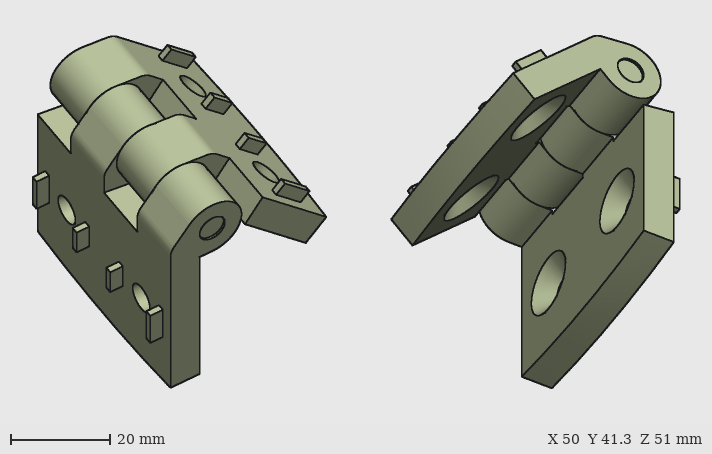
import cadquery as cq
import math


width = 50.0
knuckle_count = 4
knuckle_width = width / knuckle_count
barrel_radius = 7.0
plate_thickness = 7.0
outer_face_y = -10.0
inner_face_y = outer_face_y + plate_thickness
end_bulge = 1.5

shoulder_angle = math.radians(38.9)
shoulder_radius = 4.0

notch_outer_depth = barrel_radius
notch_inner_depth = 8.0

rib_height = 3.0
tall_rib_length = 8.25
tall_rib_width = 1.5
tall_rib_x = 21.35
short_rib_length = 6.0
hole_diameter = 6.5
countersink_diameter = 13.95
countersink_angle = 90.0

pin_radius = 3.0
pin_recess = 0.5

front_leaf_length = 44.0
front_fixing_distance = 25.65
front_hole_x = 14.0
front_short_rib_x = 6.3
front_short_rib_width = 1.5

rear_leaf_length = 30.0
rear_fixing_distance = 18.25
rear_hole_x = 13.7
rear_short_rib_x = 6.45
rear_short_rib_width = 1.6
rear_leaf_tilt = 45.0


def extrude_along_x(profile):
    """Extrude a closed YZ outline over the full width of the hinge."""
    return profile.extrude(width).translate((-width / 2, 0, 0))


def leaf_blank(length):
    """Plate and barrel in one full-width extrusion."""
    bisector = shoulder_angle / 2
    sine = math.sin(shoulder_angle)
    cosine = math.cos(shoulder_angle)
    corner_z = (outer_face_y * cosine + barrel_radius) / sine
    tangent_length = shoulder_radius * math.tan(bisector)
    round_reach = shoulder_radius * (1 / math.cos(bisector) - 1)
    profile = (
        cq.Workplane("YZ")
        .moveTo(0, -barrel_radius)
        .lineTo(inner_face_y, -barrel_radius)
        .lineTo(inner_face_y, -length)
        .lineTo(outer_face_y, -length)
        .lineTo(outer_face_y, corner_z - tangent_length)
        .threePointArc(
            (outer_face_y + round_reach * math.cos(bisector), corner_z - round_reach * math.sin(bisector)),
            (outer_face_y + tangent_length * sine, corner_z + tangent_length * cosine),
        )
        .lineTo(-barrel_radius * cosine, barrel_radius * sine)
        .threePointArc((barrel_radius * cosine, barrel_radius * sine), (0, -barrel_radius))
        .close()
    )
    return extrude_along_x(profile)


def end_block(length):
    """Block whose lower side is the bulged free end of the leaf."""
    half_width = width / 2
    return (
        cq.Workplane("XZ")
        .moveTo(-half_width, barrel_radius)
        .lineTo(-half_width, end_bulge - length)
        .threePointArc((0, -length), (half_width, end_bulge - length))
        .lineTo(half_width, barrel_radius)
        .close()
        .extrude(-outer_face_y, both=True)
    )


def notch(column):
    """Cutter that clears one knuckle column down to the sloped notch floor."""
    left_x = -width / 2 + column * knuckle_width
    return (
        cq.Workplane("YZ", origin=(left_x, 0, 0))
        .moveTo(outer_face_y, -notch_outer_depth)
        .lineTo(inner_face_y, -notch_inner_depth)
        .lineTo(barrel_radius, -notch_inner_depth)
        .lineTo(barrel_radius, barrel_radius)
        .lineTo(outer_face_y, barrel_radius)
        .close()
        .extrude(knuckle_width)
    )


def rib_pair(rib_x, distance, rib_width, rib_length):
    """Two ribs on the outer face, one on each side of the middle."""
    return (
        cq.Workplane("XZ", origin=(0, outer_face_y, 0))
        .pushPoints([(-rib_x, -distance), (rib_x, -distance)])
        .rect(rib_width, rib_length)
        .extrude(rib_height)
    )


def drill_screw_holes(leaf, hole_x, distance):
    """Cut the two through holes, countersunk from the inner face."""
    return (
        leaf.copyWorkplane(cq.Workplane("ZX", origin=(0, inner_face_y, 0)))
        .pushPoints([(-distance, -hole_x), (-distance, hole_x)])
        .cskHole(hole_diameter, countersink_diameter, countersink_angle, depth=plate_thickness)
    )


def pin_bore():
    """Cutter for the pin hole along the full width."""
    return extrude_along_x(cq.Workplane("YZ").circle(pin_radius))


def make_leaf(length, fixing_distance, hole_x, short_rib_x, short_rib_width):
    """One leaf, hanging down, with notches in every second column from -X."""
    leaf = leaf_blank(length).intersect(end_block(length))
    for column in range(0, knuckle_count, 2):
        leaf = leaf.cut(notch(column))
    leaf = leaf.cut(pin_bore())
    leaf = drill_screw_holes(leaf, hole_x, fixing_distance)
    leaf = leaf.union(rib_pair(tall_rib_x, fixing_distance, tall_rib_width, tall_rib_length))
    return leaf.union(rib_pair(short_rib_x, fixing_distance, short_rib_width, short_rib_length))


def make_pin():
    """Pin that stops short of both sides of the leaves."""
    length = width - 2 * pin_recess
    return cq.Workplane("YZ", origin=(-length / 2, 0, 0)).circle(pin_radius).extrude(length)


front_leaf = make_leaf(
    front_leaf_length, front_fixing_distance, front_hole_x, front_short_rib_x, front_short_rib_width
)

rear_leaf = (
    make_leaf(rear_leaf_length, rear_fixing_distance, rear_hole_x, rear_short_rib_x, rear_short_rib_width)
    .rotate((0, 0, 0), (0, 0, 1), 180)
    .rotate((0, 0, 0), (1, 0, 0), rear_leaf_tilt)
)

pin = make_pin()

result = cq.Compound.makeCompound([front_leaf.solids().val(), rear_leaf.solids().val(), pin.val()])